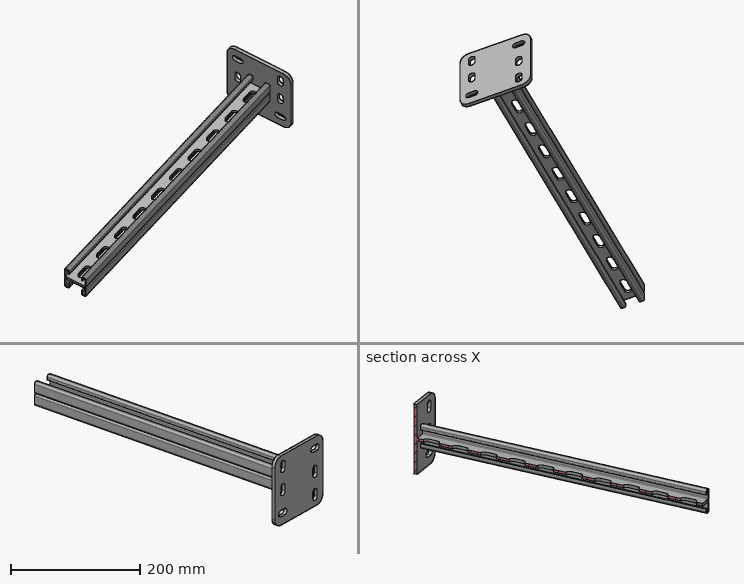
import cadquery as cq

TOTAL_LENGTH = 506.0

PLATE_SIDE = 120.0
PLATE_THICKNESS = 6.0
PLATE_CORNER_RADIUS = 15.0
PLATE_SLOT_LENGTH = 20.0
PLATE_SLOT_WIDTH = 10.5
PLATE_SLOT_OFFSET = PLATE_SIDE / 3

ARM_LENGTH = TOTAL_LENGTH - PLATE_THICKNESS
ARM_SIDE = 41.0
SHEET_THICKNESS = 2.5
BEND_OUTER_RADIUS = 3.5
BEND_INNER_RADIUS = BEND_OUTER_RADIUS - SHEET_THICKNESS
MOUTH_WIDTH = 22.5
LIP_DEPTH = 8.5

ARM_SLOT_COUNT = 10
ARM_SLOT_PITCH = ARM_LENGTH / ARM_SLOT_COUNT
ARM_SLOT_LENGTH = 27.5
ARM_SLOT_WIDTH = 11.0


def make_plate():
    """Square plate with rounded corners and a column of three slots on each side of the arm."""
    plate = cq.Workplane("XZ").rect(PLATE_SIDE, PLATE_SIDE).extrude(PLATE_THICKNESS)
    plate = plate.edges("|Y").fillet(PLATE_CORNER_RADIUS)

    far = PLATE_SLOT_OFFSET
    flat_slots = [(-far, far), (far, -far)]
    upright_slots = [(far, far), (-far, 0), (far, 0), (-far, -far)]
    for centers, angle in ((flat_slots, 0), (upright_slots, 90)):
        cutter = (
            cq.Workplane("XZ")
            .pushPoints(centers)
            .slot2D(PLATE_SLOT_LENGTH, PLATE_SLOT_WIDTH, angle)
            .extrude(PLATE_THICKNESS)
        )
        plate = plate.cut(cutter)
    return plate


def make_arm_quarter():
    """Half of one channel: web, side wall and inturned lip, in the +X +Z quadrant."""
    wall_outer = ARM_SIDE / 2
    wall_inner = wall_outer - SHEET_THICKNESS
    lip_inner = MOUTH_WIDTH / 2
    lip_outer = lip_inner + SHEET_THICKNESS
    top = ARM_SIDE / 2
    top_inner = top - SHEET_THICKNESS
    lip_end = top - LIP_DEPTH
    outer = BEND_OUTER_RADIUS
    inner = BEND_INNER_RADIUS

    return (
        cq.Workplane("XZ", origin=(0, -PLATE_THICKNESS, 0))
        .moveTo(0, 0)
        .lineTo(wall_outer - outer, 0)
        .tangentArcPoint((wall_outer, outer), relative=False)
        .lineTo(wall_outer, top - outer)
        .tangentArcPoint((wall_outer - outer, top), relative=False)
        .lineTo(lip_inner + outer, top)
        .tangentArcPoint((lip_inner, top - outer), relative=False)
        .lineTo(lip_inner, lip_end)
        .lineTo(lip_outer, lip_end)
        .lineTo(lip_outer, top_inner - inner)
        .tangentArcPoint((lip_outer + inner, top_inner), relative=False)
        .lineTo(wall_inner - inner, top_inner)
        .tangentArcPoint((wall_inner, top_inner - inner), relative=False)
        .lineTo(wall_inner, SHEET_THICKNESS + inner)
        .tangentArcPoint((wall_inner - inner, SHEET_THICKNESS), relative=False)
        .lineTo(0, SHEET_THICKNESS)
        .close()
        .extrude(ARM_LENGTH)
    )


def make_arm():
    """Both channels of the arm, with a row of slots through the shared web."""
    quarter = make_arm_quarter()
    channel = quarter.union(quarter.mirror("YZ"))
    arm = channel.union(channel.mirror("XY"))

    arm_middle = -PLATE_THICKNESS - ARM_LENGTH / 2
    slots = (
        cq.Workplane("XY", origin=(0, arm_middle, 0))
        .rarray(5, ARM_SLOT_PITCH, 1, ARM_SLOT_COUNT)
        .slot2D(ARM_SLOT_LENGTH, ARM_SLOT_WIDTH, 90)
        .extrude(SHEET_THICKNESS, both=True)
    )
    return arm.cut(slots)


result = make_plate().union(make_arm())